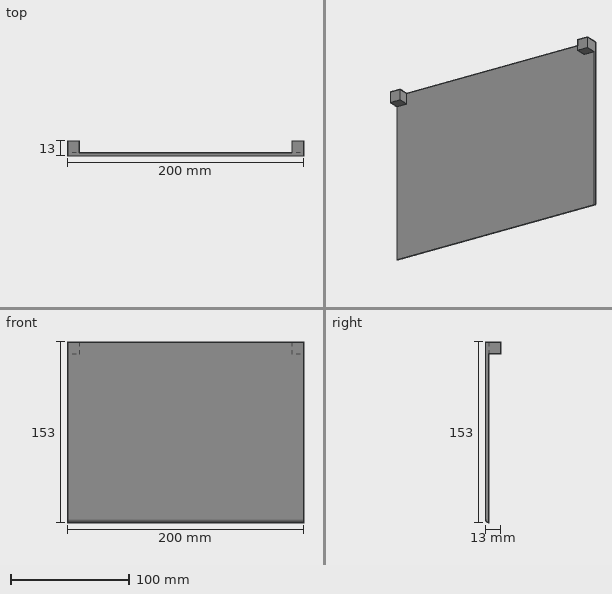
import cadquery as cq
import math

panel_width = 200.0
panel_height = 153.0
panel_thickness = 3.0
block_size = 10.0
edge_radius = panel_thickness


def make_panel():
    """Upright plate, front face at Y=0, with a quarter-round bottom front edge."""
    arc_mid_offset = edge_radius * math.cos(math.radians(45))
    arc_middle = (panel_thickness - arc_mid_offset, edge_radius - arc_mid_offset)
    profile = (
        cq.Workplane("YZ")
        .moveTo(0, edge_radius)
        .lineTo(0, panel_height)
        .lineTo(panel_thickness, panel_height)
        .lineTo(panel_thickness, 0)
        .threePointArc(arc_middle, (0, edge_radius))
        .close()
    )
    return profile.extrude(panel_width)


def make_corner_block(left_x):
    """Cube on the back of the panel, flush with its top edge."""
    block = cq.Workplane("XY").box(block_size, block_size, block_size, centered=False)
    return block.translate((left_x, panel_thickness, panel_height - block_size))


result = make_panel()
for block_x in (0, panel_width - block_size):
    result = result.union(make_corner_block(block_x))